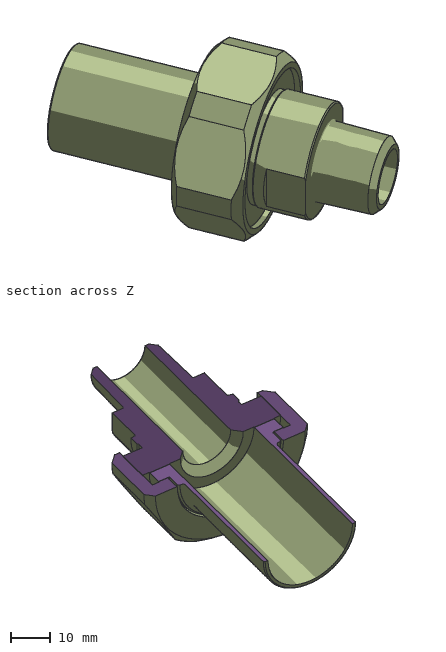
import cadquery as cq
import math


nut_left = 36.5
nut_lip_end = 40.65
seal_face = 45.0
shoulder_end = 54.1
nut_right = 55.6
collar_start = 55.5
collar_end = 69.5
total_length = 86.5

tube_radius = 28.0 / 2
tube_bore_radius = 25.6 / 2
tube_edge_chamfer = 0.35
tube_root_fillet = 0.8
tube_collar_radius = 31.5 / 2
tube_collar_chamfer = 0.5
tube_flange_radius = 38.0 / 2
tube_collar_setback = 0.1

nut_across_flats = 46.0
nut_corner_radius = 49.65 / 2
nut_left_chamfer = 2.1
nut_right_chamfer = 2.3
nut_lip_radius = 32.2 / 2
nut_bore_radius = 41.8 / 2

shoulder_radius = nut_bore_radius
collar_radius = 31.0 / 2
collar_edge_chamfer = 0.35
wrench_flat_offset = tube_radius
wrench_flat_start = 59.0
wrench_flat_runout = 0.35
spigot_root_fillet = 0.4
spigot_start_radius = 21.1 / 2
spigot_end_radius = 20.5 / 2
spigot_end_chamfer = 1.7
tail_bore_radius = 14.5 / 2
tail_mouth_radius = 19.1 / 2


def revolve_about_x(profile):
    """Revolve a closed (x, radius) profile drawn in XY around the X axis."""
    return profile.close().revolve(360, (0, 0, 0), (1, 0, 0))


def concave_arc_middle(start_x, start_radius, size, rising):
    """Middle point of a quarter fillet between a cylinder and a face at right angles to it."""
    near = size * (1 - math.sqrt(0.5))
    far = size - near
    if rising:
        return start_x + far, start_radius + near
    return start_x + near, start_radius - far


def make_tube():
    collar_left = nut_left + tube_collar_setback
    fillet_start = collar_left - tube_root_fillet
    return revolve_about_x(
        cq.Workplane("XY")
        .moveTo(0, tube_bore_radius)
        .lineTo(0, tube_radius - tube_edge_chamfer)
        .lineTo(tube_edge_chamfer, tube_radius)
        .lineTo(fillet_start, tube_radius)
        .threePointArc(
            concave_arc_middle(fillet_start, tube_radius, tube_root_fillet, True),
            (collar_left, tube_radius + tube_root_fillet),
        )
        .lineTo(collar_left, tube_collar_radius - tube_collar_chamfer)
        .lineTo(collar_left + tube_collar_chamfer, tube_collar_radius)
        .lineTo(nut_lip_end, tube_collar_radius)
        .lineTo(nut_lip_end, tube_flange_radius)
        .lineTo(seal_face, tube_flange_radius)
        .lineTo(seal_face, tube_bore_radius)
    )


def make_nut():
    hexagon = (
        cq.Workplane("YZ", origin=(nut_left, 0, 0))
        .polygon(6, nut_across_flats / math.cos(math.pi / 6))
        .extrude(nut_right - nut_left)
    )
    turned_blank = revolve_about_x(
        cq.Workplane("XY")
        .moveTo(nut_left, nut_lip_radius)
        .lineTo(nut_left, nut_corner_radius - nut_left_chamfer)
        .lineTo(nut_left + nut_left_chamfer, nut_corner_radius)
        .lineTo(nut_right - nut_right_chamfer, nut_corner_radius)
        .lineTo(nut_right, nut_corner_radius - nut_right_chamfer)
        .lineTo(nut_right, nut_bore_radius)
        .lineTo(nut_lip_end, nut_bore_radius)
        .lineTo(nut_lip_end, nut_lip_radius)
    )
    return hexagon.intersect(turned_blank).solids()


def make_wrench_flat_cutter(side):
    """Wedge-ended block that cuts the flat on the +Y (side=1) or -Y (side=-1) flank."""
    outer = 2 * collar_radius - wrench_flat_offset
    lean = 2 * wrench_flat_runout
    return (
        cq.Workplane("XY")
        .polyline([
            (wrench_flat_start, side * wrench_flat_offset),
            (collar_end, side * wrench_flat_offset),
            (collar_end, side * outer),
            (wrench_flat_start - lean, side * outer),
        ])
        .close()
        .extrude(collar_radius, both=True)
    )


def make_tail_piece():
    spigot_start = collar_end + spigot_root_fillet
    chamfer_start = total_length - spigot_end_chamfer
    undercut_radius = collar_radius - collar_edge_chamfer
    mouth_depth = tail_mouth_radius - tail_bore_radius
    tail = revolve_about_x(
        cq.Workplane("XY")
        .moveTo(seal_face, tail_mouth_radius)
        .lineTo(seal_face, shoulder_radius)
        .lineTo(shoulder_end, shoulder_radius)
        .lineTo(shoulder_end, undercut_radius)
        .lineTo(collar_start, undercut_radius)
        .lineTo(collar_start + collar_edge_chamfer, collar_radius)
        .lineTo(collar_end - collar_edge_chamfer, collar_radius)
        .lineTo(collar_end, collar_radius - collar_edge_chamfer)
        .lineTo(collar_end, spigot_start_radius + spigot_root_fillet)
        .threePointArc(
            concave_arc_middle(
                collar_end, spigot_start_radius + spigot_root_fillet, spigot_root_fillet, False
            ),
            (spigot_start, spigot_start_radius),
        )
        .lineTo(chamfer_start, spigot_end_radius)
        .lineTo(total_length, spigot_end_radius - spigot_end_chamfer)
        .lineTo(total_length, tail_bore_radius)
        .lineTo(seal_face + mouth_depth, tail_bore_radius)
    )
    for side in (1, -1):
        tail = tail.cut(make_wrench_flat_cutter(side))
    return tail.solids()


tube = make_tube()
nut = make_nut()
tail_piece = make_tail_piece()

result = cq.Compound.makeCompound([tube.val(), nut.val(), tail_piece.val()])